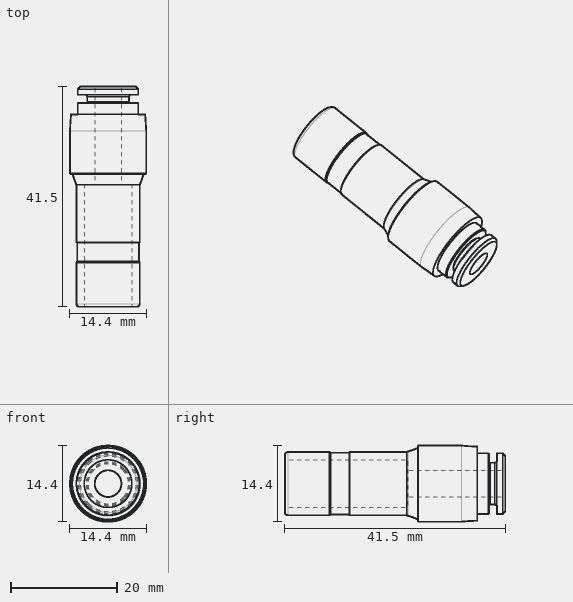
import cadquery as cq

total_length = 41.5
button_end = total_length / 2
stem_end = -total_length / 2

button_radius = 5.73
button_thickness = 1.58
button_chamfer = 0.5
neck_radius = 3.95
neck_root_length = 0.37
neck_root_flare = 0.2
neck_tip_chamfer = 0.15

collar_radius = button_radius
collar_chamfer = 0.15
collar_front = button_end - 3.05
collar_length = 2.25

body_diameter = 14.4
body_radius = body_diameter / 2
body_nose_radius = 7.0
body_nose_length = 3.05
body_front = collar_front - collar_length
body_back = button_end - 16.5
body_edge_chamfer = 0.15
taper_start_radius = 6.72
taper_end_radius = 6.05
taper_length = 1.85
taper_foot_length = 0.15

stem_radius = 5.98
stem_end_fillet = 0.6
groove_radius = 5.85
groove_front = button_end - 29.3
groove_back = button_end - 33.15
groove_front_slope = 0.12
groove_back_slope = 0.25

stem_bore_radius = 4.5
through_hole_radius = 2.5

neck_front = button_end - button_thickness
taper_end = body_back - taper_length
stem_bore_depth = taper_end - stem_end


def turned_solid():
    """Solid outer shape, revolved from its (radius, y) half outline."""
    outline = [
        (0, button_end),
        (button_radius - button_chamfer, button_end),
        (button_radius, button_end - button_chamfer),
        (button_radius, neck_front),
        (neck_radius + neck_root_flare, neck_front),
        (neck_radius, neck_front - neck_root_length),
        (neck_radius, collar_front + neck_tip_chamfer),
        (neck_radius - neck_tip_chamfer, collar_front),
        (collar_radius - collar_chamfer, collar_front),
        (collar_radius, collar_front - collar_chamfer),
        (collar_radius, body_front),
        (body_nose_radius, body_front),
        (body_radius, body_front - body_nose_length),
        (body_radius, body_back + body_edge_chamfer),
        (body_radius - body_edge_chamfer, body_back),
        (taper_start_radius, body_back),
        (taper_end_radius, taper_end),
        (stem_radius, taper_end - taper_foot_length),
        (stem_radius, groove_front),
        (groove_radius, groove_front - groove_front_slope),
        (groove_radius, groove_back + groove_back_slope),
        (stem_radius, groove_back),
        (stem_radius, stem_end),
        (0, stem_end),
    ]
    solid = cq.Workplane("XY").polyline(outline).close().revolve(360, (0, 0), (0, 1))
    return solid.faces("<Y").edges().fillet(stem_end_fillet)


def bore_from_stem_end(radius, depth):
    """Cylinder on the part axis, reaching from the stem end toward +Y."""
    axis = cq.Vector(0, 1, 0)
    return cq.Workplane(cq.Solid.makeCylinder(radius, depth, cq.Vector(0, stem_end, 0), axis))


result = (
    turned_solid()
    .cut(bore_from_stem_end(stem_bore_radius, stem_bore_depth))
    .cut(bore_from_stem_end(through_hole_radius, total_length))
)